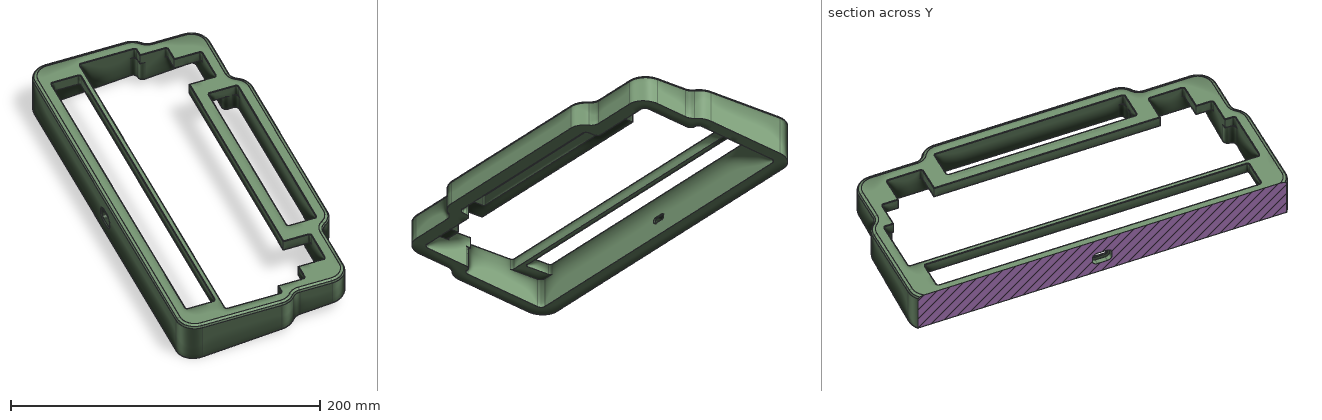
import cadquery as cq
import math

KEY = 19.05
MARGIN = 9.975
CLEARANCE = 0.7

FULL_HALF = 6.5 * KEY
SHOULDER_HALF = 6.125 * KEY
NOTCH_HALF = 5.5 * KEY
BRIDGE_HALF = 4.25 * KEY
FRONT_HALF = 6 * KEY
REAR_HALF = 3.5 * KEY

GRID_DEPTH = 5.75 * KEY
FRONT = -GRID_DEPTH / 2
REAR = GRID_DEPTH / 2
FRONT_ROW_REAR = FRONT + KEY
MAIN_FRONT = FRONT_ROW_REAR + 0.25 * KEY
MAIN_REAR = MAIN_FRONT + 3 * KEY
SHOULDER_STEP = MAIN_REAR - KEY
NOTCH_REAR = MAIN_REAR + KEY
REAR_ROW_FRONT = REAR - KEY

FRONT_HEIGHT = 29.09
TILT = 5.0
TOP_PLATE = 7.75

OUTER_RADIUS = 13.0
BLEND_RADIUS = 7.0
CAVITY_RADIUS = 3.5
WINDOW_RADIUS = 1.5
WINDOW_BEVEL = 0.4

RIM_WIDTH = 2.8
RIM_HEIGHT = 2.0
RIM_CREST_INSET = 0.8
RIM_CREST_DROP = 0.7

PORT_DROP = 16.4
PORT_WIDTH = 13.7
PORT_HEIGHT = 8.9
PORT_RADIUS = 3.3
PORT_BEVEL = 0.8
PORT_DEPTH = 8.0
SLOT_WIDTH = 10.7
SLOT_HEIGHT = 4.3

OUTER_FRONT = FRONT - MARGIN
OUTER_REAR = REAR + MARGIN


def block(half_width, front, rear, height):
    """Box centred on X, hanging down from the top face."""
    return (
        cq.Workplane("XY")
        .center(0, (front + rear) / 2)
        .rect(2 * half_width, rear - front)
        .extrude(-height)
    )


def jog(step):
    """Points of an S-shaped jog: convex middle, junction, concave middle and end.

    Each is a (run along, drop across) pair measured from the start of the convex arc.
    """
    angle = math.acos(1 - step / (OUTER_RADIUS + BLEND_RADIUS))
    concave_run = (OUTER_RADIUS + BLEND_RADIUS) * math.sin(angle)

    def on_convex(turn):
        return OUTER_RADIUS * math.sin(turn), OUTER_RADIUS * (1 - math.cos(turn))

    def on_concave(turn):
        return (
            concave_run - BLEND_RADIUS * math.sin(turn),
            step - BLEND_RADIUS * (1 - math.cos(turn)),
        )

    return on_convex(angle / 2), on_convex(angle), on_concave(angle / 2), (concave_run, step)


def half_outline():
    """Right half of the outer outline, closed along the Y axis."""
    side = FULL_HALF + MARGIN
    upper_side = SHOULDER_HALF + MARGIN
    shoulder_rear = NOTCH_REAR + MARGIN
    inset = OUTER_RADIUS * (1 - math.sqrt(0.5))
    side_start = SHOULDER_STEP + MARGIN - OUTER_RADIUS
    rear_start = REAR_HALF + MARGIN - OUTER_RADIUS
    side_jog = [(side - drop, side_start + run) for run, drop in jog(side - upper_side)]
    rear_jog = [(rear_start + run, OUTER_REAR - drop) for run, drop in jog(OUTER_REAR - shoulder_rear)]
    return (
        cq.Workplane("XY")
        .moveTo(0, OUTER_FRONT)
        .lineTo(side - OUTER_RADIUS, OUTER_FRONT)
        .threePointArc((side - inset, OUTER_FRONT + inset), (side, OUTER_FRONT + OUTER_RADIUS))
        .lineTo(side, side_start)
        .threePointArc(side_jog[0], side_jog[1])
        .threePointArc(side_jog[2], side_jog[3])
        .lineTo(upper_side, shoulder_rear - OUTER_RADIUS)
        .threePointArc(
            (upper_side - inset, shoulder_rear - inset),
            (upper_side - OUTER_RADIUS, shoulder_rear),
        )
        .lineTo(*rear_jog[3])
        .threePointArc(rear_jog[2], rear_jog[1])
        .threePointArc(rear_jog[0], (rear_start, OUTER_REAR))
        .lineTo(0, OUTER_REAR)
        .close()
    )


def body():
    """Solid wedge with a bevelled top rim and a tilted underside."""
    half = half_outline().extrude(-FRONT_HEIGHT)
    solid = half.union(half.mirror("YZ")).clean()
    steep_height = RIM_HEIGHT - RIM_CREST_DROP
    steep_inset = RIM_CREST_INSET * RIM_HEIGHT / steep_height
    trim = math.hypot(RIM_CREST_DROP, steep_inset - RIM_CREST_INSET)
    solid = solid.faces(">Z").edges().chamfer(RIM_HEIGHT, steep_inset)
    solid = solid.faces(">Z").edges().chamfer(trim, RIM_WIDTH - steep_inset)
    rise = (OUTER_REAR - OUTER_FRONT) * math.tan(math.radians(TILT))
    wedge = (
        cq.Workplane("YZ")
        .polyline([
            (OUTER_FRONT, -FRONT_HEIGHT),
            (OUTER_REAR, -FRONT_HEIGHT),
            (OUTER_REAR, rise - FRONT_HEIGHT),
        ])
        .close()
        .extrude(FULL_HALF + MARGIN, both=True)
    )
    return solid.cut(wedge)


def cavity():
    """Hollow under the top plate, following the stepped key grid."""
    gap = CLEARANCE
    hollow = (
        block(FULL_HALF + gap, FRONT - gap, SHOULDER_STEP + gap, FRONT_HEIGHT)
        .union(block(SHOULDER_HALF + gap, FRONT - gap, NOTCH_REAR + gap, FRONT_HEIGHT))
        .union(block(REAR_HALF + gap, FRONT - gap, REAR + gap, FRONT_HEIGHT))
        .clean()
    )
    return hollow.edges("|Z").fillet(CAVITY_RADIUS).translate((0, 0, -TOP_PLATE))


def key_block(half_width, front, rear):
    """Key block with its clearance, cut through the top plate."""
    return block(half_width + CLEARANCE, front - CLEARANCE, rear + CLEARANCE, TOP_PLATE)


def rounded_key_block(half_width, front, rear):
    """Key block with rounded corners."""
    return key_block(half_width, front, rear).edges("|Z").fillet(WINDOW_RADIUS)


def windows():
    """All openings in the top plate."""
    bridge = block(BRIDGE_HALF - CLEARANCE, MAIN_REAR + CLEARANCE, NOTCH_REAR + CLEARANCE, TOP_PLATE)
    side_keys = key_block(NOTCH_HALF, MAIN_REAR, NOTCH_REAR).cut(bridge)
    side_keys = side_keys.edges("|Z and >Y").fillet(WINDOW_RADIUS)
    main = (
        rounded_key_block(FULL_HALF, MAIN_FRONT, SHOULDER_STEP)
        .union(rounded_key_block(SHOULDER_HALF, MAIN_FRONT + KEY, MAIN_REAR))
        .union(side_keys)
        .clean()
    )
    front_slot = rounded_key_block(FRONT_HALF, FRONT, FRONT_ROW_REAR)
    rear_slot = rounded_key_block(REAR_HALF, REAR_ROW_FRONT, REAR)
    return main.union(front_slot).union(rear_slot)


def cable_port():
    """Rounded plug recess in the front wall with a connector slot through its floor."""
    recess = (
        cq.Workplane("XZ")
        .rect(PORT_WIDTH, PORT_HEIGHT)
        .extrude(-PORT_DEPTH)
        .edges("|Y")
        .fillet(PORT_RADIUS)
    )
    slot = cq.Workplane("XZ").slot2D(SLOT_WIDTH, SLOT_HEIGHT).extrude(-MARGIN)
    return recess.union(slot).translate((0, OUTER_FRONT, -PORT_DROP))


def bevel_openings(frame, side, size):
    """Bevel the rims of all openings in the outermost face on the given side."""
    face = frame.faces(side).val()
    rims = [edge for wire in face.innerWires() for edge in wire.Edges()]
    return frame.newObject(rims).chamfer(size)


frame = body().cut(cavity()).cut(windows()).cut(cable_port())
frame = bevel_openings(frame, ">Z", WINDOW_BEVEL)
result = bevel_openings(frame, "<Y", PORT_BEVEL)